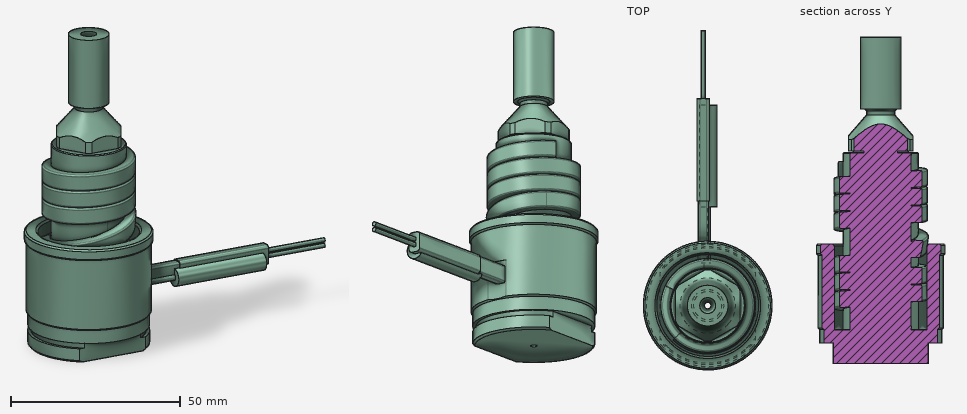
import cadquery as cq
import math

FLANGE_TOP = 4.25
GROOVE_TOP = 6.0
BASE_TOP = 10.0
SHELL_TOP = 35.3
RIM_BOTTOM = 31.9
CORE_TOP = 62.2
NUT_BOTTOM = 62.6
NUT_CONE_BOTTOM = 66.0
NECK_BOTTOM = 73.3
TIP_BOTTOM = 75.0
TOTAL_HEIGHT = 96.2

BASE_RADIUS = 18.0
GROOVE_RADIUS = 17.0
SHELL_RADIUS = 18.5
RIM_RADIUS = 19.0
CAVITY_RADIUS = 15.0
CORE_RADIUS = 11.1
NUT_NECK_RADIUS = 8.15
NUT_CORNER_RADIUS = 10.5
NECK_RADIUS = 4.15
TIP_RADIUS = 6.0
ORIFICE_RADIUS = 0.95
FUNNEL_RADIUS = 2.35

BASE_CHAMFER = 0.6
SHELL_CHAMFER = 0.5
RIM_CHAMFER = 0.5
CAVITY_CHAMFER = 0.6
CORE_CHAMFER = 0.3
TIP_STEP = 0.6

BASE_FLATS_WIDTH = 28.1
NUT_SIDES = 6
NUT_FLATS_WIDTH = 19.05
FUNNEL_DEPTH = 8.0
CABLE_FLAT_Y = 18.2
CABLE_FLAT_TOP = 21.6

COIL_RADIUS = 13.8
COIL_PITCH = 5.2
BAND_HEIGHT = 5.0
BAND_EDGE_RADIUS = 0.5
BAND_EMBED = 0.4
COIL_SPLIT_ANGLE = 142.0
COIL_SPLIT_Z = 41.3
COIL_END_ANGLE = 155.0
UPPER_TURNS = 3 + (COIL_END_ANGLE - COIL_SPLIT_ANGLE) / 360
STRETCH_TURNS = 0.77
LOWER_TURNS = 2.36
STRETCH_SPANS = 20

CABLE_X = -1.3
CABLE_Z = 17.35
LEAD_START_Y = 12.5
LEAD_WIDTH = 3.1
LEAD_HEIGHT = 5.4
SHEATH_START_Y = 30.8
SHEATH_LENGTH = 30.2
SHEATH_WIDTH = 3.8
SHEATH_HEIGHT = 6.0
CABLE_FLAT_WIDTH = 1.9
WIRE_RADIUS = 0.65
WIRE_SPACING = 1.7
WIRE_END_Y = 81.0

SLEEVE_X = 0.0
SLEEVE_Z = 15.65
SLEEVE_RADIUS = 2.75
SLEEVE_START_Y = 29.1
SLEEVE_LENGTH = 30.0
SLEEVE_WIRE_RADIUS = 0.9


def cylinder_z(radius, bottom, top):
    return cq.Workplane("XY").workplane(offset=bottom).circle(radius).extrude(top - bottom)


def bar_y(outline, start, end):
    """Extrude a closed XZ outline along +Y from start to end."""
    return outline.extrude(start - end).translate((0, start, 0))


def cylinder_y(radius, x, z, start, end):
    return bar_y(cq.Workplane("XZ").center(x, z).circle(radius), start, end)


def make_base():
    flange = cylinder_z(BASE_RADIUS, 0, FLANGE_TOP).faces("<Z").chamfer(BASE_CHAMFER)
    groove = cylinder_z(GROOVE_RADIUS, FLANGE_TOP, GROOVE_TOP)
    flats = cq.Workplane("XY").rect(BASE_FLATS_WIDTH, 2 * RIM_RADIUS).extrude(GROOVE_TOP)
    return flange.union(groove).intersect(flats).union(cylinder_z(BASE_RADIUS, GROOVE_TOP, BASE_TOP))


def make_shell():
    body = cylinder_z(SHELL_RADIUS, BASE_TOP, SHELL_TOP).faces("<Z").chamfer(SHELL_CHAMFER)
    rim = cylinder_z(RIM_RADIUS, RIM_BOTTOM, SHELL_TOP)
    rim = rim.faces("<Z").chamfer(RIM_RADIUS - SHELL_RADIUS).faces(">Z").chamfer(RIM_CHAMFER)
    cavity = cylinder_z(CAVITY_RADIUS, BASE_TOP, SHELL_TOP)
    flat_depth = RIM_RADIUS - CABLE_FLAT_Y
    flat_cut = cq.Workplane("XY").box(
        2 * RIM_RADIUS, flat_depth, CABLE_FLAT_TOP - BASE_TOP, centered=(True, False, False)
    ).translate((0, CABLE_FLAT_Y, BASE_TOP))
    shell = body.union(rim).cut(cavity).cut(flat_cut)
    mouth = cq.selectors.RadiusNthSelector(0)
    return shell.faces(">Z").edges(mouth).chamfer(CAVITY_CHAMFER)


def make_nozzle():
    core = cylinder_z(CORE_RADIUS, BASE_TOP, CORE_TOP).faces(">Z").chamfer(CORE_CHAMFER)
    nut_neck = cylinder_z(NUT_NECK_RADIUS, CORE_TOP, NUT_BOTTOM)
    upper_outline = [
        (0, NUT_BOTTOM),
        (NUT_CORNER_RADIUS, NUT_BOTTOM),
        (NUT_CORNER_RADIUS, NUT_CONE_BOTTOM),
        (NECK_RADIUS, NECK_BOTTOM),
        (NECK_RADIUS, TIP_BOTTOM - TIP_STEP),
        (NECK_RADIUS + TIP_STEP, TIP_BOTTOM),
        (TIP_RADIUS, TIP_BOTTOM),
        (TIP_RADIUS, TOTAL_HEIGHT),
        (0, TOTAL_HEIGHT),
    ]
    upper = cq.Workplane("XZ").polyline(upper_outline).close().revolve(360, (0, 0, 0), (0, 1, 0))
    hexagon = (
        cq.Workplane("XY")
        .workplane(offset=NUT_BOTTOM)
        .polygon(NUT_SIDES, NUT_FLATS_WIDTH / math.cos(math.pi / NUT_SIDES))
        .extrude(TOTAL_HEIGHT - NUT_BOTTOM)
        .rotate((0, 0, 0), (0, 0, 1), 180 / NUT_SIDES)
    )
    return core.union(nut_neck).union(upper.intersect(hexagon))


def band_section():
    """Cross-section of the coil band, centred on z = 0, with rounded outer edges."""
    inner = CORE_RADIUS - BAND_EMBED
    half = BAND_HEIGHT / 2
    edge = BAND_EDGE_RADIUS
    bulge = edge * (1 - math.sqrt(0.5))
    return (
        cq.Workplane("XZ")
        .moveTo(inner, -half)
        .lineTo(COIL_RADIUS - edge, -half)
        .threePointArc((COIL_RADIUS - bulge, bulge - half), (COIL_RADIUS, edge - half))
        .lineTo(COIL_RADIUS, half - edge)
        .threePointArc((COIL_RADIUS - bulge, half - bulge), (COIL_RADIUS - edge, half))
        .lineTo(inner, half)
        .close()
    )


def stretch_point(share, drop):
    """Point at a share (0 to 1) of the stretch; it leaves and arrives at the slope of the windings."""
    end_slope = COIL_PITCH * STRETCH_TURNS
    smooth_step = share**2 * (3 - 2 * share)
    fall = end_slope * share + (drop - end_slope) * smooth_step
    angle = -2 * math.pi * STRETCH_TURNS * share
    return cq.Vector(COIL_RADIUS * math.cos(angle), COIL_RADIUS * math.sin(angle), -fall)


def sweep_band(path):
    return band_section().sweep(cq.Workplane(obj=path), isFrenet=True)


def make_winding(turns):
    return sweep_band(cq.Wire.makeHelix(COIL_PITCH, COIL_PITCH * turns, COIL_RADIUS))


def place_band(band, angle, height):
    return band.rotate((0, 0, 0), (0, 0, 1), angle).translate((0, 0, height))


def make_coil():
    """Three lengths of band, from the cable lead up to the free end."""
    drop = COIL_SPLIT_Z - CABLE_Z - COIL_PITCH * LOWER_TURNS
    points = [stretch_point(i / STRETCH_SPANS, drop) for i in range(STRETCH_SPANS + 1)]
    stretch = sweep_band(cq.Wire.assembleEdges([cq.Edge.makeSpline(points)]))
    lower_angle = COIL_SPLIT_ANGLE - 360 * (STRETCH_TURNS + LOWER_TURNS)
    return [
        place_band(make_winding(LOWER_TURNS), lower_angle, CABLE_Z),
        place_band(stretch, COIL_SPLIT_ANGLE, COIL_SPLIT_Z),
        place_band(make_winding(UPPER_TURNS), COIL_SPLIT_ANGLE, COIL_SPLIT_Z),
    ]


def rounded_bar(width, height, start, end):
    outline = cq.Workplane("XZ").center(CABLE_X, CABLE_Z).rect(width, height)
    edge_radius = (width - CABLE_FLAT_WIDTH) / 2
    return bar_y(outline, start, end).edges("|Y").fillet(edge_radius)


def make_cable():
    sheath_end = SHEATH_START_Y + SHEATH_LENGTH
    cable = rounded_bar(LEAD_WIDTH, LEAD_HEIGHT, LEAD_START_Y, SHEATH_START_Y)
    cable = cable.union(rounded_bar(SHEATH_WIDTH, SHEATH_HEIGHT, SHEATH_START_Y, sheath_end))
    for side in (-1, 1):
        wire_z = CABLE_Z + side * WIRE_SPACING / 2
        cable = cable.union(cylinder_y(WIRE_RADIUS, CABLE_X, wire_z, sheath_end, WIRE_END_Y))
    return cable


def make_sleeve():
    sleeve_end = SLEEVE_START_Y + SLEEVE_LENGTH
    sleeve = cylinder_y(SLEEVE_RADIUS, SLEEVE_X, SLEEVE_Z, SLEEVE_START_Y, sleeve_end)
    wire = cylinder_y(SLEEVE_WIRE_RADIUS, SLEEVE_X, SLEEVE_Z, LEAD_START_Y, SLEEVE_START_Y)
    return sleeve.union(wire)


def make_bore():
    funnel = cq.Solid.makeCone(
        ORIFICE_RADIUS, FUNNEL_RADIUS, FUNNEL_DEPTH, cq.Vector(0, 0, TOTAL_HEIGHT - FUNNEL_DEPTH)
    )
    return cylinder_z(ORIFICE_RADIUS, 0, TOTAL_HEIGHT).union(cq.Workplane(obj=funnel))


result = make_base().union(make_shell()).union(make_nozzle())
for coil_piece in make_coil():
    result = result.union(coil_piece)
result = result.union(make_cable()).union(make_sleeve()).cut(make_bore())